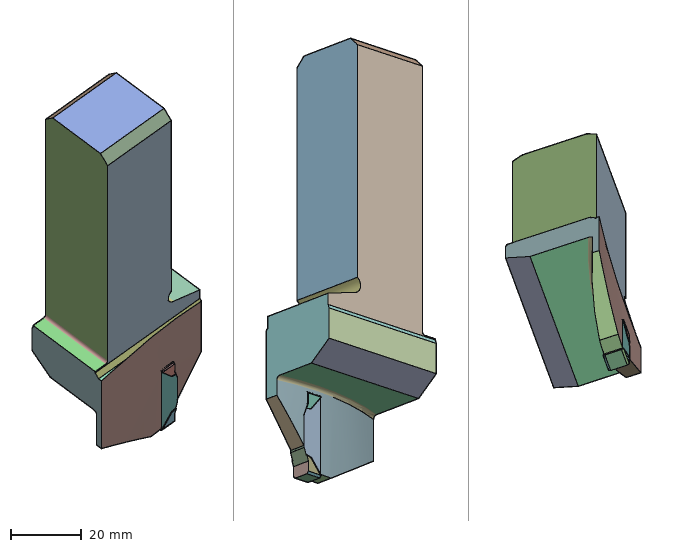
import cadquery as cq
import math

width = 28.1
depth = 41.5
height = 127.2

shank_side = 25.2
shank_left = 0.4
shank_right = shank_left + shank_side
shank_front = 5.0
shank_back = shank_front + shank_side
top_bevel_x = 2.9
top_bevel_z = 2.8

underside_z = 27.0
head_bevel_x = 7.4
head_bevel_top_z = 32.5
left_ledge_z = 41.6
left_ledge_rise = 1.1
right_ledge_z = 41.2
right_ledge_rise = 1.4
right_ledge_x = shank_right + right_ledge_rise
front_ledge_z = 43.1
front_ledge_fillet = 0.8

relief_top_z = 54.0
relief_middle_y = 29.0
relief_middle_z = 51.3
relief_end_y = 31.2
relief_end_z = 49.1
shoulder_z = 46.2

blade_bottom_z = 1.0
blade_toe_y = 21.4
blade_front_z = 13.2
blade_back_z = 21.2
blade_heel_z = 8.1
blade_root_fillet = 1.1
inner_face_front_x = 26.1
inner_face_x = 20.5
inner_face_y = 28.0
outer_face_x = 26.1
outer_face_y = 33.1

insert_front_y = 25.7
insert_back_y = 32.0
insert_rake_y = 30.7
insert_height = 24.9
insert_tip_length = 3.7
insert_ramp_length = 3.8
insert_left = 20.2
insert_right = 26.5
insert_waist_inset = 0.3
insert_corner_bevel = 0.6
relief_foot_z = 0.6
relief_knee_y = 29.5
relief_knee_z = 5.1
relief_head_z = 5.6


def arc_radius(run, rise):
    """Radius of an arc that starts tangent to Y and deviates by rise over run."""
    return (run**2 + rise**2) / (2 * rise)


def arc_x(y, apex_x, apex_y, radius):
    """X of a concave-to-+X arc at a given Y."""
    return apex_x + radius - math.sqrt(radius**2 - (y - apex_y) ** 2)


outer_radius = arc_radius(outer_face_y, width - outer_face_x)
outer_back_x = arc_x(depth, outer_face_x, outer_face_y, outer_radius)
inner_radius = arc_radius(inner_face_y, inner_face_front_x - inner_face_x)
inner_back_x = arc_x(depth, inner_face_x, inner_face_y, inner_radius)
inner_middle_x = arc_x(depth / 2, inner_face_x, inner_face_y, inner_radius)
outer_middle_x = arc_x(depth / 2, outer_face_x, outer_face_y, outer_radius)


def make_side_stock():
    """Side outline of shank, head and blade in YZ, extruded across X."""
    return (
        cq.Workplane("YZ")
        .moveTo(shank_front, height)
        .lineTo(shank_back, height)
        .lineTo(shank_back, relief_top_z)
        .threePointArc((relief_middle_y, relief_middle_z), (relief_end_y, relief_end_z))
        .lineTo(depth, shoulder_z)
        .lineTo(depth, blade_back_z)
        .lineTo(insert_back_y, blade_heel_z)
        .lineTo(insert_front_y, blade_bottom_z)
        .lineTo(blade_toe_y, blade_bottom_z)
        .lineTo(0, blade_front_z)
        .lineTo(0, front_ledge_z)
        .lineTo(shank_front - front_ledge_fillet, front_ledge_z)
        .radiusArc((shank_front, front_ledge_z + front_ledge_fillet), -front_ledge_fillet)
        .close()
        .extrude(width)
    )


def make_front_stock():
    """Front outline of shank and head in XZ, extruded along Y."""
    outline = [
        (0, head_bevel_top_z),
        (0, left_ledge_z),
        (shank_left, left_ledge_z + left_ledge_rise),
        (shank_left, height - top_bevel_z),
        (shank_left + top_bevel_x, height),
        (shank_right - top_bevel_x, height),
        (shank_right, height - top_bevel_z),
        (shank_right, right_ledge_z + right_ledge_rise),
        (right_ledge_x, right_ledge_z),
        (width, right_ledge_z),
        (width, underside_z),
        (head_bevel_x, underside_z),
    ]
    return cq.Workplane("XZ").polyline(outline).close().extrude(-depth)


def make_blade_stock():
    """Blade plan bounded by the two arc faces, up to the ledge height."""
    return (
        cq.Workplane("XY")
        .moveTo(inner_face_front_x, 0)
        .threePointArc((inner_middle_x, depth / 2), (inner_back_x, depth))
        .lineTo(outer_back_x, depth)
        .threePointArc((outer_middle_x, depth / 2), (width, 0))
        .close()
        .extrude(right_ledge_z)
    )


def make_outer_trim():
    """Plan region on the inner side of the curved outer face."""
    return (
        cq.Workplane("XY")
        .lineTo(width, 0)
        .threePointArc((outer_middle_x, depth / 2), (outer_back_x, depth))
        .lineTo(0, depth)
        .close()
        .extrude(height)
    )


def make_insert():
    """Double-ended insert with stepped rake faces and relieved sides."""
    ramp_end = insert_tip_length + insert_ramp_length
    outline = [
        (insert_front_y, 0),
        (insert_rake_y, 0),
        (insert_rake_y, insert_tip_length),
        (insert_back_y, ramp_end),
        (insert_back_y, insert_height - ramp_end),
        (insert_rake_y, insert_height - insert_tip_length),
        (insert_rake_y, insert_height),
        (insert_front_y, insert_height),
    ]
    body = (
        cq.Workplane("YZ", origin=(insert_left, 0, 0))
        .polyline(outline)
        .close()
        .extrude(insert_right - insert_left)
    )
    body = body.faces("<Z or >Z").edges("|Y").chamfer(insert_corner_bevel)

    relief_outline = [
        (insert_front_y, relief_foot_z),
        (relief_knee_y, relief_knee_z),
        (insert_back_y, relief_head_z),
        (insert_back_y, insert_height - relief_head_z),
        (relief_knee_y, insert_height - relief_knee_z),
        (insert_front_y, insert_height - relief_foot_z),
    ]
    for side_x in (insert_left, insert_right - insert_waist_inset):
        relief = (
            cq.Workplane("YZ", origin=(side_x, 0, 0))
            .polyline(relief_outline)
            .close()
            .extrude(insert_waist_inset)
        )
        body = body.cut(relief)
    return body.solids()


def make_holder(insert):
    """Shank, head and blade in one piece, with a pocket matching the insert."""
    head = make_front_stock().intersect(make_outer_trim())
    body = head.union(make_blade_stock())
    root_margin = 0.1
    inner_root = cq.selectors.BoxSelector(
        (inner_face_x, 0, underside_z - root_margin),
        (inner_face_front_x, depth, underside_z + root_margin),
    )
    body = body.edges(inner_root).fillet(blade_root_fillet)
    return body.intersect(make_side_stock()).cut(insert).solids()


insert = make_insert()
holder = make_holder(insert)
result = cq.Compound.makeCompound([holder.val(), insert.val()])